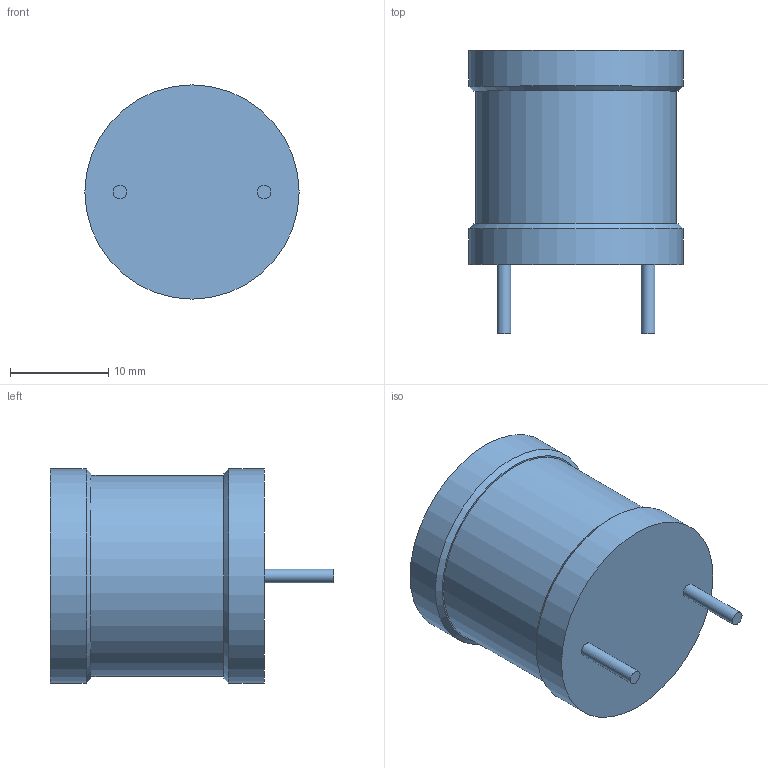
import cadquery as cq

flange_diameter = 21.84
drum_length = 21.84
overall_length = 28.9
winding_diameter = 20.5

rim_width = 3.65
chamfer = 0.5

pin_diameter = 1.4
pin_spacing = 14.7
pin_length = overall_length - drum_length

flange_radius = flange_diameter / 2
winding_radius = winding_diameter / 2
half_drum = drum_length / 2
rim_inner = half_drum - rim_width
winding_end = rim_inner - chamfer
chamfer_radius = flange_radius - chamfer


def make_drum():
    """Spool body: half profile (Y, radius) revolved about the Y axis."""
    profile = [
        (-half_drum, 0),
        (-half_drum, flange_radius),
        (-rim_inner, flange_radius),
        (-winding_end, chamfer_radius),
        (-winding_end, winding_radius),
        (winding_end, winding_radius),
        (winding_end, chamfer_radius),
        (rim_inner, flange_radius),
        (half_drum, flange_radius),
        (half_drum, 0),
    ]
    return cq.Workplane("YZ").polyline(profile).close().revolve(360, (0, 0, 0), (1, 0, 0))


def make_pins():
    """Two round pins standing on the -Y end face, spaced along X."""
    end_face = cq.Workplane("XZ", origin=(0, -half_drum, 0))
    pin_centres = [(-pin_spacing / 2, 0), (pin_spacing / 2, 0)]
    return end_face.pushPoints(pin_centres).circle(pin_diameter / 2).extrude(pin_length)


result = make_drum().union(make_pins())